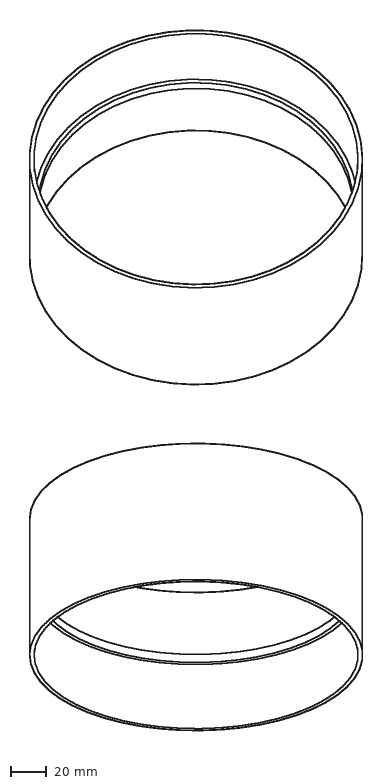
import cadquery as cq

outer_diameter = 185.0
socket_diameter = 180.0
stop_diameter = 175.0
sleeve_height = 85.0
stop_height = 5.0


def ring(outside, inside, height, base):
    """Flat-ended ring about the Z axis, starting at height base."""
    return (
        cq.Workplane("XY")
        .workplane(offset=base)
        .circle(outside / 2)
        .circle(inside / 2)
        .extrude(height)
    )


sleeve = ring(outer_diameter, socket_diameter, sleeve_height, 0)

stop_base = (sleeve_height - stop_height) / 2
stop = ring(outer_diameter, stop_diameter, stop_height, stop_base)

result = sleeve.union(stop).clean()